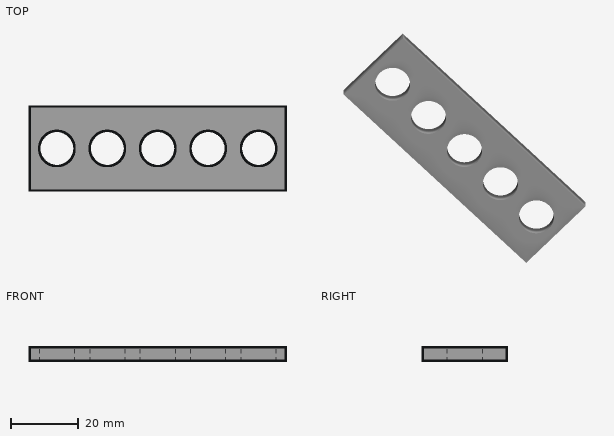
import cadquery as cq

length = 76.0
width = 25.0
thickness = 4.0

hole_count = 5
hole_diameter = 10.4
hole_spacing = 15.0

plate = cq.Workplane("XY").box(length, width, thickness)

result = (
    plate.faces(">Z")
    .workplane()
    .rarray(hole_spacing, 0.75, hole_count, 1)
    .hole(hole_diameter)
)